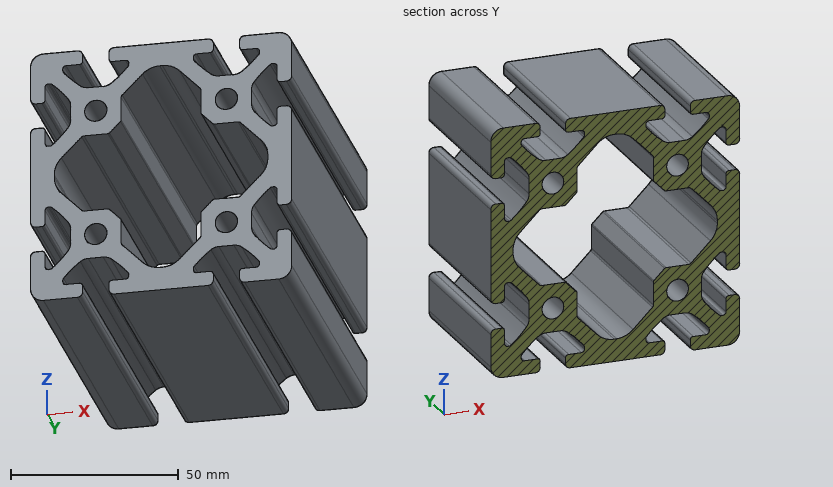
import cadquery as cq
import math

side = 80.0
length = 100.0
corner_radius = 4.0

module_offset = side / 4
bore_diameter = 6.8

slot_width = 8.0
slot_depth = 12.3
lip_thickness = 4.5
undercut_width = 20.2
slot_floor_width = 7.2
shoulder_height = 6.0
flank_bulge = 0.3
lip_outer_radius = 1.6
lip_inner_radius = 1.0
undercut_radius = 1.0
slot_floor_radius = 4.0

cavity_wall = 7.3
core_reach = 7.8
core_half_face = 4.0
cavity_tip_radius = 7.5
core_root_radius = 1.0
core_edge_radius = 0.6

cut_clearance = 1.0
edge_tolerance = 0.05


def all_quadrants(x, z):
    """The XZ point repeated by mirroring in both axes and swapping X with Z."""
    mirrored = [(sx * x, sz * z) for sx in (-1, 1) for sz in (-1, 1)]
    return mirrored + [(pz, px) for px, pz in mirrored]


def fillet_at(solid, corners, radius):
    """Round the lengthwise edges that pass through the given XZ corners."""
    edges = []
    for x, z in corners:
        around_corner = cq.selectors.BoxSelector(
            (x - edge_tolerance, -length, z - edge_tolerance),
            (x + edge_tolerance, length, z + edge_tolerance),
        )
        edges += solid.edges("|Y").edges(around_corner).vals()
    return solid.newObject(edges).fillet(radius)


def make_slot():
    """T-slot cutter centred on X = 0, opening through the top face."""
    top = side / 2
    lip = top - lip_thickness
    floor = top - slot_depth
    shoulder = floor + shoulder_height
    half_opening = slot_width / 2
    half_undercut = undercut_width / 2
    half_floor = slot_floor_width / 2

    bulge = flank_bulge * math.sqrt(0.5)
    flank_x = (half_undercut + half_floor) / 2 + bulge
    flank_z = (shoulder + floor) / 2 - bulge

    slot = (
        cq.Workplane("XZ")
        .moveTo(-half_floor, floor)
        .lineTo(half_floor, floor)
        .threePointArc((flank_x, flank_z), (half_undercut, shoulder))
        .lineTo(half_undercut, lip)
        .lineTo(half_opening, lip)
        .lineTo(half_opening, top + cut_clearance)
        .lineTo(-half_opening, top + cut_clearance)
        .lineTo(-half_opening, lip)
        .lineTo(-half_undercut, lip)
        .lineTo(-half_undercut, shoulder)
        .threePointArc((-flank_x, flank_z), (-half_floor, floor))
        .close()
        .extrude(length / 2, both=True)
    )
    undercut_ends = [(s * half_undercut, z) for s in (-1, 1) for z in (lip, shoulder)]
    floor_ends = [(s * half_floor, floor) for s in (-1, 1)]
    slot = fillet_at(slot, undercut_ends, undercut_radius)
    return fillet_at(slot, floor_ends, slot_floor_radius)


def make_cavity():
    """Cross-shaped cutter with 45 degree flanks and chamfered inner corners."""
    reach = side / 2 - cavity_wall
    core_face = module_offset - core_reach
    core_edge = module_offset - core_half_face
    core_root = module_offset + core_half_face
    half_tip = core_face + core_root - reach
    first_quadrant = [
        (reach, half_tip),
        (core_root, core_face),
        (core_edge, core_face),
        (core_face, core_edge),
        (core_face, core_root),
        (half_tip, reach),
    ]
    upper_half = first_quadrant + [(-x, z) for x, z in reversed(first_quadrant)]
    lower_half = [(-x, -z) for x, z in upper_half]
    cavity = (
        cq.Workplane("XZ")
        .polyline(upper_half + lower_half)
        .close()
        .extrude(length / 2, both=True)
    )
    cavity = fillet_at(cavity, all_quadrants(half_tip, reach), cavity_tip_radius)
    cavity = fillet_at(cavity, all_quadrants(core_face, core_root), core_root_radius)
    return fillet_at(cavity, all_quadrants(core_face, core_edge), core_edge_radius)


def make_bores():
    """Four through bores on the module axes."""
    return (
        cq.Workplane("XZ")
        .rect(2 * module_offset, 2 * module_offset, forConstruction=True)
        .vertices()
        .circle(bore_diameter / 2)
        .extrude(length / 2, both=True)
    )


def round_lips(solid):
    """Round the outer and inner corners of every slot lip."""
    outer_level = side / 2
    inner_level = outer_level - lip_thickness
    for level, radius in ((outer_level, lip_outer_radius), (inner_level, lip_inner_radius)):
        for lip_side in (-1, 1):
            lip_end = module_offset + lip_side * slot_width / 2
            solid = fillet_at(solid, all_quadrants(lip_end, level), radius)
    return solid


profile = cq.Workplane("XY").box(side, length, side)
profile = profile.edges("|Y").fillet(corner_radius)

slot = make_slot()
for turn in (0, 90, 180, 270):
    for offset in (-module_offset, module_offset):
        placed_slot = slot.translate((offset, 0, 0)).rotate((0, 0, 0), (0, 1, 0), turn)
        profile = profile.cut(placed_slot)

profile = round_lips(profile)
result = profile.cut(make_cavity()).cut(make_bores())